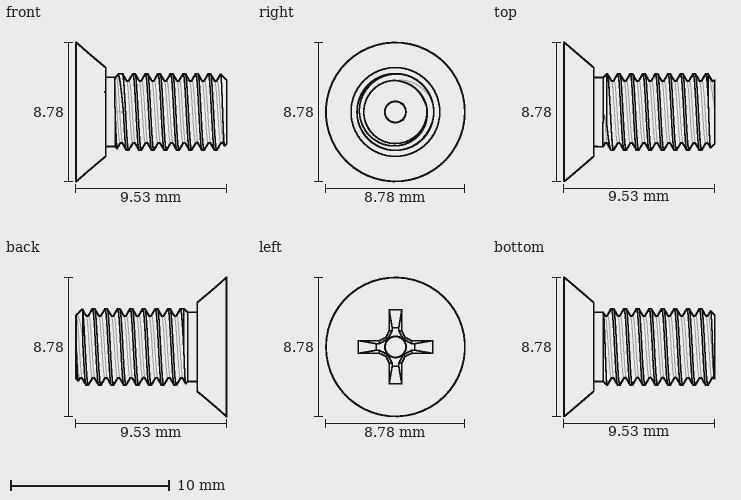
import cadquery as cq
import math

total_length = 9.53
head_diameter = 8.78
head_radius = head_diameter / 2
head_rim = 0.04
head_height = 1.89
head_base_radius = 2.8
neck_radius = 2.19
neck_end = 2.49

thread_radius = 2.42
thread_turns = 9
thread_turns_length = 7.14
thread_pitch = thread_turns_length / thread_turns
thread_depth = 0.48
flank_angle = 30.0
root_fillet = 0.1
thread_start = 2.67
lead_in_radius = 2.24
lead_in_turn = 90.0
tip_chamfer = 0.43
groove_overcut = 0.04
lead_in_steps = 6
bar_length = total_length + 4 * thread_pitch
trim_clearance = 0.1

recess_depth = 2.13
floor_slope = 10.0
wing_reach = 2.335
wing_half_width = 0.4
wing_shoulder = 1.01
flare_corner = 0.6
floor_reach = 1.08
floor_half_width = 0.18
floor_shoulder = 1.04
floor_corner = 0.49
bore_radius = 0.66


def revolve_about_screw(profile):
    """Solid of revolution from (x, radius) points."""
    return cq.Workplane("XY").polyline(profile).close().revolve(360, (0, 0, 0), (1, 0, 0))


def make_head():
    """Countersunk head with its narrow rim."""
    return revolve_about_screw([
        (0, 0),
        (0, head_radius),
        (head_rim, head_radius),
        (head_height, head_base_radius),
        (head_height, 0),
    ])


def make_neck_cutter():
    """Ring that turns the bar down to the neck and its lead chamfer."""
    outer_radius = thread_radius + trim_clearance
    return revolve_about_screw([
        (0, neck_radius),
        (neck_end, neck_radius),
        (neck_end + outer_radius - neck_radius, outer_radius),
        (0, outer_radius),
    ])


def make_tip_cutter():
    """Removes everything past the tip and bevels its edge at 45 degrees."""
    outer_radius = thread_radius + trim_clearance
    bar_end = bar_length + trim_clearance
    return revolve_about_screw([
        (total_length, 0),
        (total_length, thread_radius - tip_chamfer),
        (total_length - tip_chamfer - trim_clearance, outer_radius),
        (bar_end, outer_radius),
        (bar_end, 0),
    ])


def groove_section(root_radius, turn):
    """Closed groove outline at a turn in degrees along the thread, with the thread axis on Z."""
    flank = math.radians(flank_angle)
    outer_radius = thread_radius + groove_overcut
    tangent_radius = root_radius + root_fillet * (1 - math.sin(flank))
    tangent_half = root_fillet * math.cos(flank)
    outer_half = tangent_half + (outer_radius - tangent_radius) * math.tan(flank)
    angle = math.radians(turn)
    radial = cq.Vector(math.cos(angle), math.sin(angle), 0)
    section_plane = cq.Plane(
        origin=(0, 0, thread_pitch * turn / 360),
        xDir=radial,
        normal=radial.cross(cq.Vector(0, 0, 1)),
    )
    return (
        cq.Workplane(section_plane)
        .moveTo(outer_radius, outer_half)
        .lineTo(tangent_radius, tangent_half)
        .threePointArc((root_radius, 0), (tangent_radius, -tangent_half))
        .lineTo(outer_radius, -outer_half)
        .close()
    )


def place_on_screw(groove):
    """Turn a groove from the Z axis onto the screw axis, with turn zero on the -Y side."""
    along_screw = cq.Plane(origin=(thread_start, 0, 0), xDir=(0, -1, 0), normal=(1, 0, 0))
    return cq.Workplane(groove.moved(cq.Location(along_screw)))


def make_helical_groove():
    """Right-hand groove of full depth that runs out past the tip."""
    root_radius = thread_radius - thread_depth
    path = cq.Wire.makeHelix(thread_pitch, total_length + thread_pitch - thread_start, root_radius)
    groove = groove_section(root_radius, 0).sweep(cq.Workplane(path), isFrenet=True)
    return place_on_screw(groove.val())


def make_lead_in_groove():
    """Start of the groove, deepening steadily from near the neck surface to full depth."""
    root_radius = thread_radius - thread_depth
    sections = []
    for step in range(lead_in_steps + 1):
        fade = step / lead_in_steps
        section_root = root_radius + fade * (lead_in_radius - root_radius)
        sections.append(groove_section(section_root, -fade * lead_in_turn).wire().val())
    return place_on_screw(cq.Solid.makeLoft(sections))


def cross_outline(reach, half_width, shoulder, corner):
    """Points of a four-winged cross with a flared corner between neighbouring wings."""
    wing = [
        (reach, -half_width),
        (reach, half_width),
        (shoulder, half_width),
        (corner, corner),
        (half_width, shoulder),
    ]
    points = []
    for quarter in range(4):
        for x, y in wing:
            for _ in range(quarter):
                x, y = -y, x
            points.append((x, y))
    return points


def make_recess():
    """Tapered cross recess with a shallow conical floor."""
    cross = (
        cq.Workplane("YZ")
        .polyline(cross_outline(wing_reach, wing_half_width, wing_shoulder, flare_corner))
        .close()
        .workplane(offset=recess_depth)
        .polyline(cross_outline(floor_reach, floor_half_width, floor_shoulder, floor_corner))
        .close()
        .loft(ruled=True)
    )
    cone_rise = head_radius * math.tan(math.radians(floor_slope))
    conical_end = revolve_about_screw([
        (0, 0),
        (0, head_radius),
        (recess_depth - cone_rise, head_radius),
        (recess_depth, 0),
    ])
    return cross.intersect(conical_end)


def make_threaded_shank():
    """Over-long threaded bar trimmed to the neck and the end chamfers."""
    bar = cq.Workplane("YZ").circle(thread_radius).extrude(bar_length)
    threaded_bar = bar.cut(make_helical_groove()).cut(make_lead_in_groove())
    return threaded_bar.cut(make_neck_cutter()).cut(make_tip_cutter())


bore = cq.Workplane("YZ").circle(bore_radius).extrude(total_length)

result = make_threaded_shank().union(make_head()).cut(make_recess()).cut(bore)